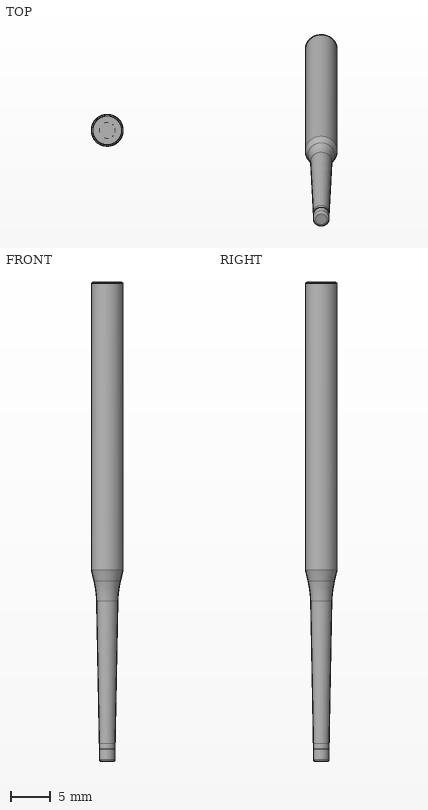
import cadquery as cq
import math

total_length = 60.0

shank_radius = 2.0
shank_length = 36.0
end_chamfer = 0.2

cutter_radius = 1.0
cutter_length = 1.6
corner_radius = 0.3

land_top = 2.3
neck_taper = math.radians(1.1)
shoulder_taper = math.radians(13.5)
flare_radius = 11.5

shank_bottom = total_length - shank_length


def cutting_head():
    """Round cutting head with a rounded bottom corner."""
    head = cq.Workplane("XY").circle(cutter_radius).extrude(cutter_length)
    return head.faces("<Z").edges().fillet(corner_radius)


def shank_and_stem():
    """Shank with its slender stem, revolved about Z from a half profile of (radius, Z) points."""
    neck_slope = math.tan(neck_taper)
    shoulder_slope = math.tan(shoulder_taper)
    neck_radius_at_shank = cutter_radius + neck_slope * (shank_bottom - land_top)
    corner_drop = (shank_radius - neck_radius_at_shank) / (shoulder_slope - neck_slope)
    corner_r = shank_radius - corner_drop * shoulder_slope
    corner_z = shank_bottom - corner_drop

    half_turn = (shoulder_taper - neck_taper) / 2
    middle_tilt = (shoulder_taper + neck_taper) / 2
    center_distance = flare_radius / math.cos(half_turn)
    center_r = corner_r + center_distance * math.cos(middle_tilt)
    center_z = corner_z - center_distance * math.sin(middle_tilt)

    def flare_point(tilt):
        """Point on the flare where its tangent leans outward from the Z axis by tilt."""
        return (center_r - flare_radius * math.cos(tilt), center_z + flare_radius * math.sin(tilt))

    profile = (
        cq.Workplane("XZ")
        .moveTo(0, cutter_length)
        .lineTo(cutter_radius, cutter_length)
        .lineTo(cutter_radius, land_top)
        .lineTo(*flare_point(neck_taper))
        .threePointArc(flare_point(middle_tilt), flare_point(shoulder_taper))
        .lineTo(shank_radius, shank_bottom)
        .lineTo(shank_radius, total_length - end_chamfer)
        .lineTo(shank_radius - end_chamfer, total_length)
        .lineTo(0, total_length)
        .close()
    )
    return profile.revolve(360, (0, 0, 0), (0, 1, 0))


head = cutting_head()
shank = shank_and_stem()

result = cq.Compound.makeCompound([head.val(), shank.val()])